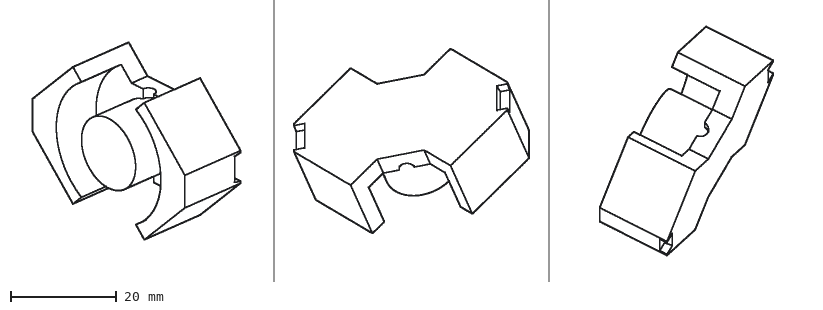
import cadquery as cq

length = 42.2
depth = 14.5
height = 29.45

end_flat_height = 7.0
waist_height = 19.0
base_thickness = 4.18
winding_bore_diameter = 28.95
post_diameter = 15.0
wire_groove_diameter = 2.95

recess_mouth_height = 6.1
recess_reach = 1.5
recess_inset = 2.1
recess_draft = 10.0

back_y = depth / 2
base_face_y = back_y - base_thickness


def front_plane(y):
    """Plane facing -Y, with local axes along X and Z."""
    return cq.Workplane("XZ", origin=(0, y, 0))


def core_body():
    """Bow-tie prism whose sloping sides all run at 45 degrees."""
    half_height = height / 2
    half_flat = end_flat_height / 2
    half_waist = waist_height / 2
    peak_x = length / 2 - (half_height - half_flat)
    waist_x = peak_x - (half_height - half_waist)
    upper_right = [
        (waist_x, half_waist),
        (peak_x, half_height),
        (length / 2, half_flat),
    ]
    lower_right = [(x, -z) for x, z in reversed(upper_right)]
    right_side = upper_right + lower_right
    left_side = [(-x, -z) for x, z in right_side]
    return front_plane(back_y).polyline(right_side + left_side).close().extrude(depth)


def winding_bore():
    return front_plane(base_face_y).circle(winding_bore_diameter / 2).extrude(depth - base_thickness)


def wire_groove():
    """Round channel along Z, centred on the face of the base."""
    return (
        cq.Workplane("XY", origin=(0, base_face_y, -height / 2))
        .circle(wire_groove_diameter / 2)
        .extrude(height)
    )


def center_post():
    """Round post through the full depth, which also closes the groove behind it."""
    return front_plane(back_y).circle(post_diameter / 2).extrude(depth)


def clip_recess(side):
    """Recess at one end (side is -1 or +1), narrowing with draft from the back face."""
    center_x = side * length / 2
    return (
        front_plane(back_y)
        .center(center_x, 0)
        .rect(2 * recess_inset, recess_mouth_height)
        .extrude(recess_reach, taper=recess_draft)
    )


result = core_body().cut(winding_bore()).cut(wire_groove()).union(center_post())
for side in (-1, 1):
    result = result.cut(clip_recess(side))